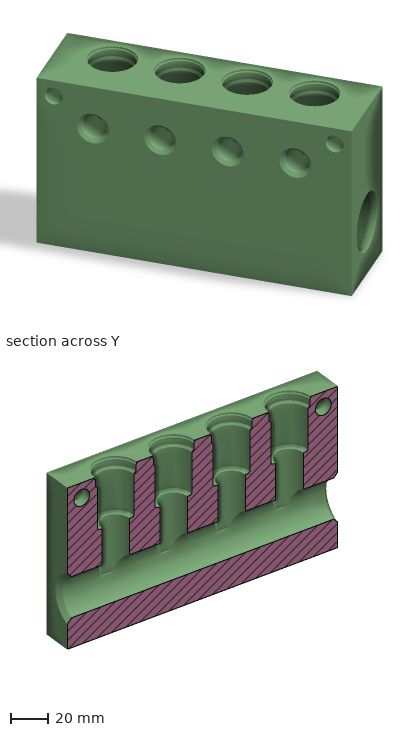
import cadquery as cq

length = 177.8
width = 50.9
height = 101.5

main_bore_diameter = 28.8
main_mouth_diameter = 34.3
main_bore_z = 31.8

station_count = 4
station_pitch = 38.0
cavity_y = 6.5

mouth_radius = 13.7
spotface_depth = 1.0
seal_radius = 13.2
seal_bottom_depth = 5.7
body_radius = 12.0
body_bottom_depth = 32.7
step_radius = 11.0
nose_radius = 8.9

port_diameter = 14.2
port_mouth_diameter = 18.0
port_drop = 25.5

mount_diameter = 10.1
mount_inset = 9.6

front_y = -width / 2
station_xs = [(i - (station_count - 1) / 2) * station_pitch for i in range(station_count)]


def make_cavity(x):
    """Stepped cavity turned about a vertical axis, opening into the main bore."""
    seal_top_depth = spotface_depth + mouth_radius - seal_radius
    body_top_depth = seal_bottom_depth + seal_radius - body_radius
    step_depth = body_bottom_depth + body_radius - step_radius
    bottom_depth = height - main_bore_z
    profile = [
        (0, 0),
        (mouth_radius, 0),
        (mouth_radius, -spotface_depth),
        (seal_radius, -seal_top_depth),
        (seal_radius, -seal_bottom_depth),
        (body_radius, -body_top_depth),
        (body_radius, -body_bottom_depth),
        (step_radius, -step_depth),
        (nose_radius, -step_depth),
        (nose_radius, -bottom_depth),
        (0, -bottom_depth),
    ]
    turned = cq.Workplane("XZ").polyline(profile).close().revolve(360, (0, 0, 0), (0, 1, 0))
    return turned.translate((x, cavity_y, height))


def make_port(x):
    """Countersunk side port reaching the axis of its cavity."""
    mouth = port_mouth_diameter / 2
    bore = port_diameter / 2
    reach = cavity_y - front_y
    profile = [(0, 0), (mouth, 0), (bore, mouth - bore), (bore, reach), (0, reach)]
    turned = cq.Workplane("XY").polyline(profile).close().revolve(360, (0, 0, 0), (0, 1, 0))
    return turned.translate((x, front_y, height - port_drop))


def make_main_bore():
    """Through bore along X with a countersink at each end."""
    mouth = main_mouth_diameter / 2
    bore = main_bore_diameter / 2
    sink = mouth - bore
    half = length / 2
    profile = [
        (-half, 0),
        (-half, mouth),
        (-half + sink, bore),
        (half - sink, bore),
        (half, mouth),
        (half, 0),
    ]
    turned = cq.Workplane("XY").polyline(profile).close().revolve(360, (0, 0, 0), (1, 0, 0))
    return turned.translate((0, 0, main_bore_z))


def make_mounting_hole(x):
    """Plain hole through the full width."""
    hole = cq.Workplane("XZ").circle(mount_diameter / 2).extrude(width / 2, both=True)
    return hole.translate((x, 0, height - mount_inset))


result = cq.Workplane("XY").box(length, width, height, centered=(True, True, False))
result = result.cut(make_main_bore())
for station_x in station_xs:
    result = result.cut(make_cavity(station_x)).cut(make_port(station_x))
for side in (-1, 1):
    result = result.cut(make_mounting_hole(side * (length / 2 - mount_inset)))